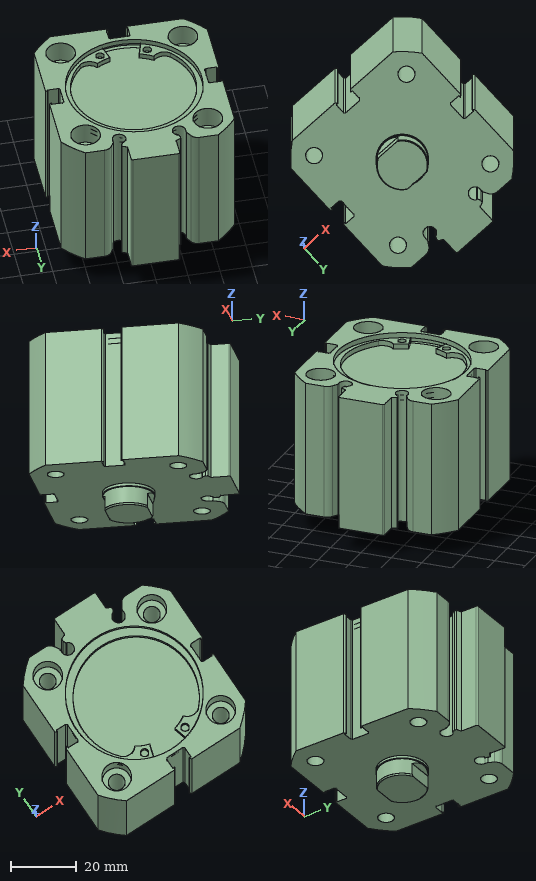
import cadquery as cq
import math


housing_width = 54.0
housing_height = 43.6
turned_corner_radius = 34.0
half_width = housing_width / 2

bolt_offset = 19.0
bolt_hole_diameter = 5.1
counterbore_diameter = 9.0
counterbore_depth = 7.0

slot_mouth_half_width = 2.65
slot_half_width = 3.3
slot_depth = 4.5
slot_lip_thickness = 0.7
slot_lip_chamfer = 0.55
slot_corner_chamfer = 0.4

rail_half_width = 7.55
rail_top = 33.0
rail_base = half_width - 3.0
rail_corner_radius = 0.5
rail_lip_x = 9.1
rail_lip_top = 26.3
rail_lip_bottom = 25.55
side_groove_x = 9.3
side_groove_y = 22.75
side_groove_radius = 2.05
rail_lip_tip = (8.7, 24.5)
groove_neck_angle = 60.0
shoulder_bend_y = 23.95
shoulder_corner_x = 13.15
shoulder_radius = 2.7

bore_radius = 21.0
ring_recess = 1.7
ring_thickness = 1.7
ring_outer_radius = 22.25
ring_inner_radius = 19.25
ring_inner_offset = 1.1
ring_twist = -0.6
cap_thickness = 6.0
ring_bottom = housing_height - ring_recess - ring_thickness
cap_bottom = ring_bottom - cap_thickness

lug_end_angle = 16.1
lug_side_angle = 32.5
lug_radius = 16.4
neck_angle = 37.4
neck_radius = 19.15
neck_end_angle = 44.3
lug_hole_angle = 23.2
lug_hole_centre_radius = 18.65
lug_hole_diameter = 2.5

rod_radius = 8.05
rod_tip_radius = 7.85
rod_projection = 6.9
rod_full_length = 0.9
rod_end_chamfer_height = 0.55
rod_end_chamfer_width = 0.25
flat_half_width = 6.6
flat_top = -2.45


def polar_from_minus_y(radius, degrees):
    """Point at an angle from -Y, positive toward +X."""
    angle = math.radians(degrees)
    return (radius * math.sin(angle), -radius * math.cos(angle))


def make_t_slot():
    """T-slot opening on the -Y side."""
    lip_y = -half_width + slot_lip_thickness
    floor_y = -half_width + slot_depth
    right_side = [
        (slot_mouth_half_width + slot_lip_chamfer, -half_width),
        (slot_mouth_half_width, -half_width + slot_lip_chamfer),
        (slot_mouth_half_width, lip_y),
        (slot_half_width, lip_y),
        (slot_half_width, floor_y - slot_corner_chamfer),
        (slot_half_width - slot_corner_chamfer, floor_y),
    ]
    left_side = [(-x, y) for x, y in reversed(right_side)]
    return cq.Workplane("XY").polyline(right_side + left_side).close().extrude(housing_height)


def make_side_groove():
    """Groove on the +X side of the rail, open toward +Y."""
    neck = math.radians(groove_neck_angle)
    neck_point = (
        side_groove_x - side_groove_radius * math.cos(neck),
        side_groove_y + side_groove_radius * math.sin(neck),
    )
    outer_x = side_groove_x + side_groove_radius
    lean_angle = math.atan2(half_width - shoulder_bend_y, shoulder_corner_x - outer_x)
    tangent_length = shoulder_radius * math.tan(lean_angle / 2)
    shoulder_start = (
        shoulder_corner_x - tangent_length * math.cos(lean_angle),
        half_width - tangent_length * math.sin(lean_angle),
    )
    shoulder_end = (shoulder_corner_x + tangent_length, half_width)
    return (
        cq.Workplane("XY")
        .moveTo(rail_half_width, half_width)
        .lineTo(rail_lip_x, rail_lip_top)
        .lineTo(rail_lip_x, rail_lip_bottom)
        .lineTo(*rail_lip_tip)
        .lineTo(*neck_point)
        .threePointArc((side_groove_x, side_groove_y - side_groove_radius), (outer_x, side_groove_y))
        .lineTo(outer_x, shoulder_bend_y)
        .lineTo(*shoulder_start)
        .tangentArcPoint(shoulder_end, relative=False)
        .close()
        .extrude(housing_height)
    )


def make_housing():
    block = cq.Workplane("XY").rect(housing_width, housing_width).extrude(housing_height)
    block = block.intersect(cq.Workplane("XY").circle(turned_corner_radius).extrude(housing_height))
    rail = (
        cq.Workplane("XY")
        .rect(2 * rail_half_width, rail_top - rail_base)
        .extrude(housing_height)
        .edges("|Z and >Y")
        .fillet(rail_corner_radius)
        .translate((0, (rail_top + rail_base) / 2, 0))
    )
    body = block.union(rail)

    side_groove = make_side_groove()
    body = body.cut(side_groove).cut(side_groove.mirror("YZ"))
    for angle in (-90, 0, 90):
        body = body.cut(make_t_slot().rotate((0, 0, 0), (0, 0, 1), angle))

    body = body.cut(cq.Workplane("XY").circle(rod_radius).extrude(cap_bottom))
    body = body.cut(
        cq.Workplane("XY").workplane(offset=cap_bottom).circle(bore_radius)
        .extrude(housing_height - cap_bottom)
    )
    body = body.cut(
        cq.Workplane("XY").workplane(offset=ring_bottom).circle(ring_outer_radius)
        .extrude(ring_thickness)
    )
    return (
        body.faces(">Z")
        .workplane(origin=(0, 0, housing_height))
        .rect(2 * bolt_offset, 2 * bolt_offset, forConstruction=True)
        .vertices()
        .cboreHole(bolt_hole_diameter, counterbore_diameter, counterbore_depth)
    )


def make_end_cap():
    return cq.Workplane("XY").workplane(offset=cap_bottom).circle(bore_radius).extrude(cap_thickness)


def make_retaining_ring():
    """Eccentric C-ring with a drilled lug at each end."""
    end_angle = math.radians(neck_end_angle)
    neck_end_radius = ring_inner_offset * math.cos(end_angle) + math.sqrt(
        ring_inner_radius**2 - (ring_inner_offset * math.sin(end_angle)) ** 2
    )
    lug_mid_angle = (lug_end_angle + lug_side_angle) / 2
    lug_holes = [polar_from_minus_y(lug_hole_centre_radius, side * lug_hole_angle) for side in (-1, 1)]

    ring = (
        cq.Workplane("XY")
        .workplane(offset=ring_bottom)
        .moveTo(*polar_from_minus_y(ring_outer_radius, lug_end_angle))
        .threePointArc((0, ring_outer_radius), polar_from_minus_y(ring_outer_radius, -lug_end_angle))
        .lineTo(*polar_from_minus_y(lug_radius, -lug_end_angle))
        .threePointArc(
            polar_from_minus_y(lug_radius, -lug_mid_angle),
            polar_from_minus_y(lug_radius, -lug_side_angle),
        )
        .threePointArc(
            polar_from_minus_y(neck_radius, -neck_angle),
            polar_from_minus_y(neck_end_radius, -neck_end_angle),
        )
        .threePointArc(
            (0, ring_inner_radius - ring_inner_offset),
            polar_from_minus_y(neck_end_radius, neck_end_angle),
        )
        .threePointArc(
            polar_from_minus_y(neck_radius, neck_angle),
            polar_from_minus_y(lug_radius, lug_side_angle),
        )
        .threePointArc(
            polar_from_minus_y(lug_radius, lug_mid_angle),
            polar_from_minus_y(lug_radius, lug_end_angle),
        )
        .close()
        .extrude(ring_thickness)
    )
    holes = (
        cq.Workplane("XY").workplane(offset=ring_bottom).pushPoints(lug_holes)
        .circle(lug_hole_diameter / 2).extrude(ring_thickness)
    )
    return ring.cut(holes).rotate((0, 0, 0), (0, 0, 1), ring_twist)


def make_rod():
    """Rod from the end cap down through the housing, with two wrench flats."""
    step = rod_radius - rod_tip_radius
    half_section = [
        (0, cap_bottom),
        (rod_radius, cap_bottom),
        (rod_radius, -rod_full_length),
        (rod_tip_radius, -rod_full_length - step),
        (rod_tip_radius, -rod_projection + rod_end_chamfer_height),
        (rod_tip_radius - rod_end_chamfer_width, -rod_projection),
        (0, -rod_projection),
    ]
    rod = cq.Workplane("XZ").polyline(half_section).close().revolve(360, (0, 0, 0), (0, 1, 0))

    ramp = rod_radius - flat_half_width
    flat_section = [
        (flat_half_width, -rod_projection),
        (flat_half_width, flat_top),
        (rod_radius, flat_top + ramp),
        (rod_radius, -rod_projection),
    ]
    flat_cut = cq.Workplane("YZ").polyline(flat_section).close().extrude(rod_radius, both=True)
    return rod.cut(flat_cut).cut(flat_cut.mirror("XZ"))


housing = make_housing()
end_cap = make_end_cap()
retaining_ring = make_retaining_ring()
rod = make_rod()

result = cq.Compound.makeCompound(
    [housing.val(), end_cap.val(), retaining_ring.val(), rod.val()]
)